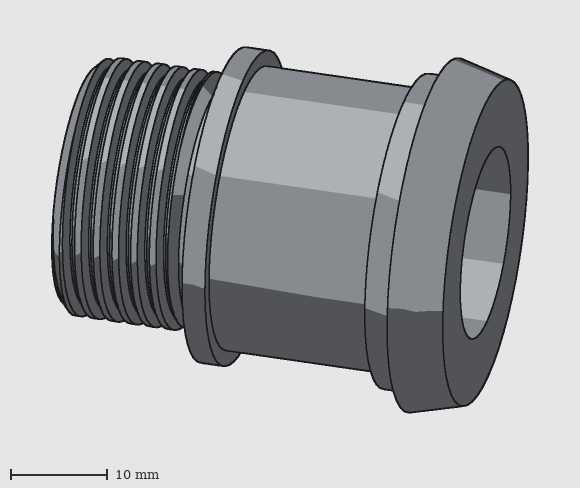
import cadquery as cq

total_length = 43.0
bore_radius = 10.0

thread_radius = 13.5
neck_radius = 12.4
thread_end = 13.55
stock_allowance = 5.15
turning_clearance = 0.45

pitch = 12.0 / 6
groove_start = 0.6 - pitch
groove_turns = 8
root_radius = 12.5
root_width = 0.2
crest_gap = 1.3
groove_overshoot = 0.15

flange_start = 15.0
flange_end = 17.45
collar_start = 34.55
head_start = 37.45
flange_radius = 16.45
body_radius = 14.85
head_radius = 18.5
head_end_radius = 17.03


def revolve_about_x(outline):
    """Turn a closed (x, radius) outline around the X axis."""
    return cq.Workplane("XZ").polyline(outline).close().revolve(360, (0, 0, 0), (1, 0, 0))


def thread_groove():
    """Helical cutter, swept along Z and then laid along X."""
    helix = cq.Wire.makeHelix(pitch, groove_turns * pitch, root_radius)
    flank_slope = (crest_gap - root_width) / 2 / (thread_radius - root_radius)
    outer_half = crest_gap / 2 + flank_slope * groove_overshoot
    outer_radius = thread_radius + groove_overshoot
    cutter = (
        cq.Workplane("XZ")
        .polyline([
            (root_radius, -root_width / 2),
            (outer_radius, -outer_half),
            (outer_radius, outer_half),
            (root_radius, root_width / 2),
        ])
        .close()
        .sweep(cq.Workplane(helix), isFrenet=True)
    )
    return cutter.rotate((0, 0, 0), (0, 1, 0), 90).translate((groove_start, 0, 0))


def threaded_spigot():
    """Thread a long plain bar, then turn both ends to 45 degree cones and bore it."""
    chamfer_tip_radius = thread_radius + turning_clearance
    chamfer_run = chamfer_tip_radius - neck_radius
    stock_start = -stock_allowance
    stock_end = thread_end + stock_allowance
    stock = revolve_about_x([
        (stock_start, 0),
        (stock_start, thread_radius),
        (stock_end, thread_radius),
        (stock_end, 0),
    ])
    lead_in_waste = revolve_about_x([
        (stock_start - turning_clearance, 0),
        (stock_start - turning_clearance, chamfer_tip_radius),
        (chamfer_run, chamfer_tip_radius),
        (0, neck_radius),
        (0, 0),
    ])
    run_out_waste = revolve_about_x([
        (thread_end, 0),
        (thread_end, neck_radius),
        (thread_end - chamfer_run, chamfer_tip_radius),
        (stock_end + turning_clearance, chamfer_tip_radius),
        (stock_end + turning_clearance, 0),
    ])
    bore = cq.Workplane("YZ").circle(bore_radius).extrude(thread_end)
    return stock.cut(thread_groove()).cut(lead_in_waste).cut(run_out_waste).cut(bore)


def stepped_body():
    return revolve_about_x([
        (thread_end, bore_radius),
        (thread_end, neck_radius),
        (flange_start, neck_radius),
        (flange_start, flange_radius),
        (flange_end, flange_radius),
        (flange_end, body_radius),
        (collar_start, body_radius),
        (collar_start, flange_radius),
        (head_start, flange_radius),
        (head_start, head_radius),
        (total_length, head_end_radius),
        (total_length, bore_radius),
    ])


result = stepped_body().union(threaded_spigot())